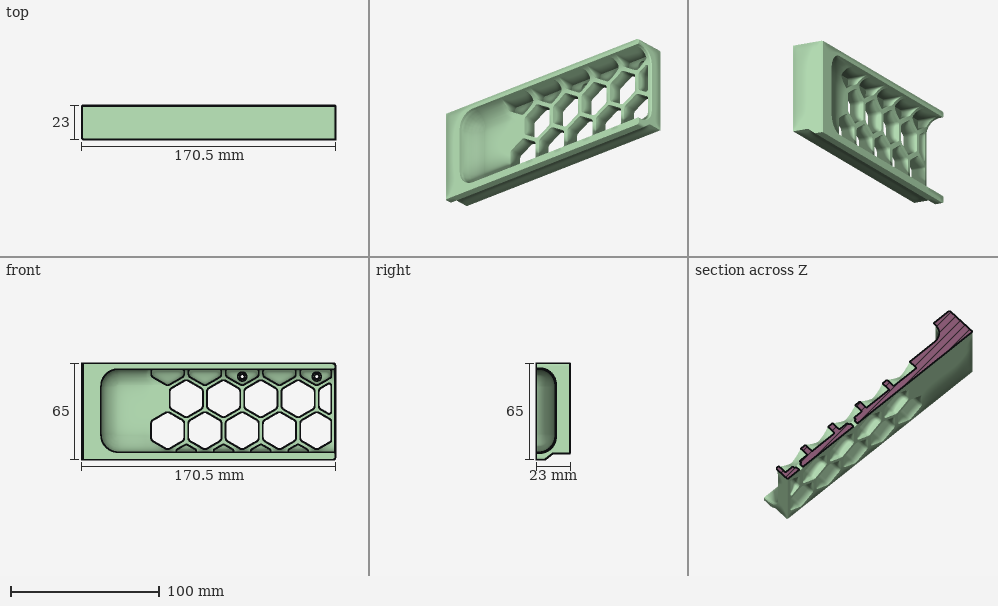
import cadquery as cq
import math

TOLERANCE = 0.002

LENGTH = 170.5
DEPTH = 23.0
HEIGHT = 65.0
END_RADIUS = 1.7
BACK_CHAMFER = 0.5
FRONT_CHAMFER = 0.9

RELIEF_HEIGHT = 4.1
RELIEF_START_Y = 5.8
RELIEF_FULL_Y = 11.0

POCKET_LEFT = 12.8
POCKET_BOTTOM = 5.1
POCKET_TOP = 61.0
POCKET_DEPTH = 12.8
POCKET_CORNER_RADIUS = 11.8
POCKET_FLOOR_RADIUS = 10.7
RIM_CHAMFER = 0.7

CELL_WIDTH = 22.2
CELL_PITCH = 25.0
ROW_PITCH = 21.5
CELL_RADIUS = 2.7
CELLS_PER_ROW = 5
FIRST_CELL_X = 57.6
FIRST_ROW_Z = 19.6
CELL_LIMIT_X = 167.6
CELL_LIMIT_RADIUS = 1.4
BLIND_DEPTH = 17.9

NOTCH_WIDTH = 13.5
NOTCH_TIP_Z = 10.5
NOTCH_RADIUS = 1.7
NOTCH_DEPTH = 12.5
NOTCH_COUNT = 4

SCREW_Z = 56.0
SCREW_CELLS = (2, 4)
SCREW_DIAMETER = 3.2
HEAD_DIAMETER = 6.0
HEAD_DEPTH = 1.7


def box(x_range, y_range, z_range):
    """Axis-aligned box between the given limits."""
    size = [high - low for low, high in (x_range, y_range, z_range)]
    corner = (x_range[0], y_range[0], z_range[0])
    return cq.Workplane("XY").box(*size, centered=False).translate(corner)


def hex_prism(width, x, z, y_end):
    """Pointed-up hexagonal prism from the front face back to y_end."""
    point_diameter = width / math.cos(math.pi / 6)
    return (
        cq.Workplane("XZ")
        .polygon(6, point_diameter)
        .extrude(-y_end)
        .rotate((0, 0, 0), (0, 1, 0), 30)
        .translate((x, 0, z))
    )


def is_cut_off_corner(edge):
    """True for a cell corner lying on the end limit or on the top wall of the pocket."""
    center = edge.Center()
    on_end_limit = math.isclose(center.x, CELL_LIMIT_X, abs_tol=TOLERANCE)
    on_top_wall = math.isclose(center.z, POCKET_TOP, abs_tol=TOLERANCE)
    return on_end_limit or on_top_wall


def make_cell(x, z, y_end):
    """One honeycomb cell, cut off at the pocket wall and end rib, with rounded corners."""
    limits = box((0, CELL_LIMIT_X), (0, DEPTH), (POCKET_BOTTOM, POCKET_TOP))
    cell = hex_prism(CELL_WIDTH, x, z, y_end).intersect(limits)
    cell = cell.edges("|Y").filter(lambda edge: not is_cut_off_corner(edge)).fillet(CELL_RADIUS)
    cut_off_corners = cell.edges("|Y").filter(is_cut_off_corner)
    if cut_off_corners.size() > 0:
        cell = cut_off_corners.fillet(CELL_LIMIT_RADIUS)
    return cell


def make_block():
    """Outer body: relieved profile along X, rounded end edges and small bevels."""
    profile = [
        (0, 0),
        (RELIEF_START_Y, 0),
        (RELIEF_FULL_Y, RELIEF_HEIGHT),
        (DEPTH, RELIEF_HEIGHT),
        (DEPTH, HEIGHT),
        (0, HEIGHT),
    ]
    block = cq.Workplane("YZ").polyline(profile).close().extrude(LENGTH)
    block = block.edges("|Y and >X").edges(">Z or <Z").fillet(END_RADIUS)
    block = block.faces(">Y").chamfer(BACK_CHAMFER)
    bevel = (
        cq.Workplane("XY")
        .polyline([(0, 0), (FRONT_CHAMFER, 0), (0, FRONT_CHAMFER)])
        .close()
        .extrude(HEIGHT)
    )
    return block.cut(bevel)


def make_pocket():
    """Pocket cutter with rounded corners and a large radius into its floor."""
    beyond_end = LENGTH + POCKET_CORNER_RADIUS
    return (
        box((POCKET_LEFT, beyond_end), (0, POCKET_DEPTH), (POCKET_BOTTOM, POCKET_TOP))
        .edges("|Y and <X")
        .fillet(POCKET_CORNER_RADIUS)
        .faces(">Y")
        .edges("not(>X)")
        .fillet(POCKET_FLOOR_RADIUS)
    )


def make_cells():
    """Through cells in two rows and a blind row at the top, kept inside the pocket and end rib."""
    cells = cq.Workplane("XY")
    cell_rows = ((0, DEPTH), (1, DEPTH), (2, BLIND_DEPTH))
    for row, y_end in cell_rows:
        row_x = FIRST_CELL_X + (row % 2) * CELL_PITCH / 2
        row_z = FIRST_ROW_Z + row * ROW_PITCH
        for column in range(CELLS_PER_ROW):
            cells = cells.add(make_cell(row_x + column * CELL_PITCH, row_z, y_end))
    return cells.combine()


def make_notches():
    """Small blind cells that scoop the lower radius of the pocket."""
    notches = cq.Workplane("XY")
    point_radius = NOTCH_WIDTH / 2 / math.cos(math.pi / 6)
    limits = box((0, LENGTH), (0, DEPTH), (POCKET_BOTTOM, HEIGHT))
    for column in range(NOTCH_COUNT):
        x = FIRST_CELL_X + (column + 0.5) * CELL_PITCH
        notch = hex_prism(NOTCH_WIDTH, x, NOTCH_TIP_Z - point_radius, NOTCH_DEPTH)
        notch = notch.edges("|Y").fillet(NOTCH_RADIUS)
        notches = notches.add(notch.intersect(limits))
    return notches.combine()


def make_screw_holes():
    """Counterbored holes from the blind cell floors through the back."""
    centers = [(FIRST_CELL_X + cell * CELL_PITCH, SCREW_Z) for cell in SCREW_CELLS]
    start = cq.Workplane("XZ", origin=(0, BLIND_DEPTH, 0)).pushPoints(centers)
    heads = start.circle(HEAD_DIAMETER / 2).extrude(-HEAD_DEPTH)
    return start.circle(SCREW_DIAMETER / 2).extrude(BLIND_DEPTH - DEPTH).union(heads)


def bevel_open_end(body):
    """Break the edge of the pocket outline where it runs out at the open end."""
    rim = cq.selectors.BoxSelector(
        (LENGTH - TOLERANCE, TOLERANCE, POCKET_BOTTOM - TOLERANCE),
        (LENGTH + TOLERANCE, POCKET_DEPTH + TOLERANCE, POCKET_TOP + TOLERANCE),
    )
    return body.edges(rim).chamfer(RIM_CHAMFER)


result = (
    bevel_open_end(make_block().cut(make_pocket()))
    .cut(make_cells())
    .cut(make_notches())
    .cut(make_screw_holes())
)